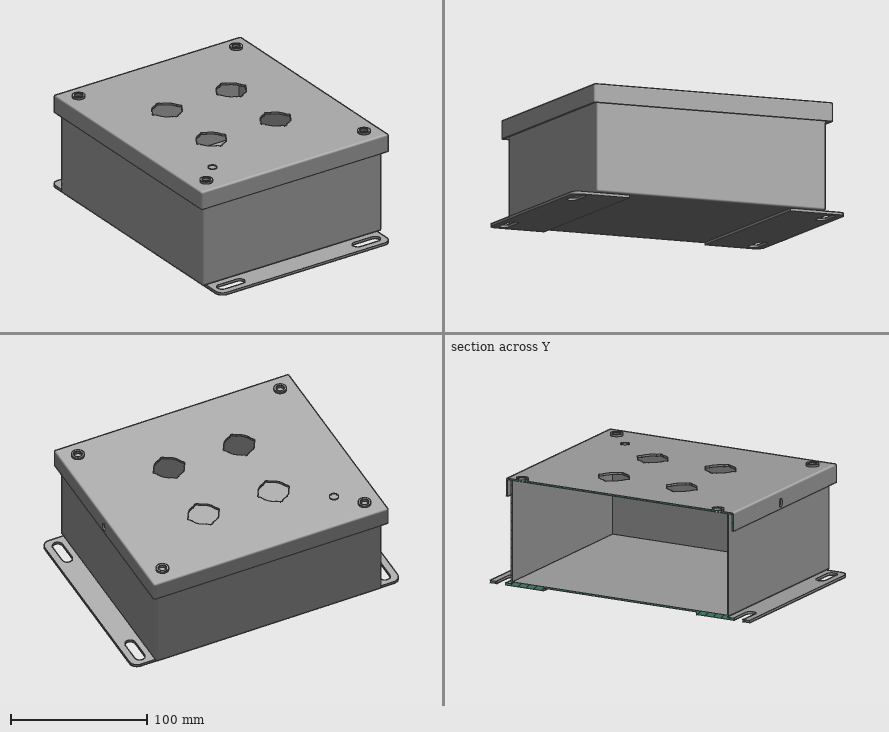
import cadquery as cq

total_length = 219.0
lid_width = 166.7
total_height = 83.5

foot_thickness = 2.0
box_wall = 1.5
lid_wall = 1.5
bend_radius = 1.5

lid_length = 192.0
lid_height = 14.0
screw_head_height = 1.5
lid_top = total_height - screw_head_height
lid_bottom = lid_top - lid_height

lid_overhang = 4.0
box_length = lid_length - 2 * lid_overhang
box_width = lid_width - 2 * lid_overhang
box_bottom = foot_thickness
box_rim = lid_top - lid_wall

foot_inner_edge = 64.6
foot_width = 152.5
foot_corner_radius = 6.1
mount_slot_width = 8.0
mount_slot_length = 23.7
mount_slot_x = 100.1
mount_slot_y = 60.2

button_pitch = 57.2
button_diameter = 22.5
keyway_tip_radius = 12.7
keyway_tip_width = 1.3
keyway_base_radius = 10.7
keyway_base_width = 6.1

pilot_diameter = 6.8
pilot_x = 66.0
pilot_y = -53.2
plug_recess = 0.7

skirt_slot_width = 4.0
skirt_slot_length = 6.1
skirt_slot_z = lid_bottom + 4.5

screw_x = 82.5
screw_y = 70.0
screw_head_diameter = 9.5
socket_mouth_diameter = 6.4
socket_diameter = 5.7
socket_chamfer = (socket_mouth_diameter - socket_diameter) / 2
socket_depth = 2.2


def both_ways(x, y):
    """The four points mirrored about the X and Y axes."""
    return [(sx * x, sy * y) for sx in (-1, 1) for sy in (-1, 1)]


def plain_block(length, width, height, bottom):
    """A sharp-edged block centred on the Z axis, standing at the given height."""
    return cq.Workplane("XY", origin=(0, 0, bottom)).rect(length, width).extrude(height)


def folded_block(length, width, height, bottom, closed_face):
    """A block with rounded upright edges and a rounded rim on its closed face."""
    block = plain_block(length, width, height, bottom)
    return block.edges("|Z").fillet(bend_radius).faces(closed_face).edges().fillet(bend_radius)


def make_foot(side):
    """One slotted mounting foot; side is -1 or 1 along X."""
    length = total_length / 2 - foot_inner_edge
    middle = side * (total_length / 2 + foot_inner_edge) / 2
    outer_edges = "|Z and >X" if side > 0 else "|Z and <X"
    foot = cq.Workplane("XY").center(middle, 0).rect(length, foot_width).extrude(foot_thickness)
    foot = foot.edges(outer_edges).fillet(foot_corner_radius)
    slots = (
        cq.Workplane("XY")
        .pushPoints([(side * mount_slot_x, -mount_slot_y), (side * mount_slot_x, mount_slot_y)])
        .slot2D(mount_slot_length, mount_slot_width, 90)
        .extrude(foot_thickness)
    )
    return foot.cut(slots)


def make_box():
    """The box with its two feet welded under the floor."""
    height = box_rim - box_bottom
    box = folded_block(box_length, box_width, height, box_bottom, "<Z")
    cavity = plain_block(
        box_length - 2 * box_wall, box_width - 2 * box_wall, height, box_bottom + box_wall
    )
    box = box.cut(cavity)
    for side in (-1, 1):
        box = box.union(make_foot(side))
    return box


def button_cutter():
    """One button hole on the Z axis with a tapered keyway on each quarter."""
    sheet = cq.Workplane("XY", origin=(0, 0, lid_top - lid_wall))
    cutter = sheet.circle(button_diameter / 2).extrude(lid_wall)
    half_tip = keyway_tip_width / 2
    half_base = keyway_base_width / 2
    keyway_points = [
        (keyway_tip_radius, -half_tip),
        (keyway_tip_radius, half_tip),
        (keyway_base_radius, half_base),
        (keyway_base_radius, -half_base),
    ]
    keyway = sheet.polyline(keyway_points).close().extrude(lid_wall)
    for quarter in range(4):
        cutter = cutter.union(keyway.rotate((0, 0, 0), (0, 0, 1), 90 * quarter))
    return cutter


def pilot_cylinder(height):
    """A cylinder on the pilot-hole axis, rising from the underside of the lid sheet."""
    sheet = cq.Workplane("XY", origin=(pilot_x, pilot_y, lid_top - lid_wall))
    return sheet.circle(pilot_diameter / 2).extrude(height)


def skirt_slot_cutter():
    """The upright slot through the -X skirt of the lid."""
    skirt = cq.Workplane("YZ", origin=(-lid_length / 2, 0, skirt_slot_z))
    return skirt.slot2D(skirt_slot_length, skirt_slot_width, 90).extrude(lid_wall)


def add_screws(lid):
    """Raise four screw heads on the lid and sink a chamfered round socket in each."""
    places = both_ways(screw_x, screw_y)
    heads = (
        cq.Workplane("XY", origin=(0, 0, lid_top))
        .pushPoints(places)
        .circle(screw_head_diameter / 2)
        .extrude(screw_head_height)
    )
    sockets = (
        cq.Workplane("XY", origin=(0, 0, total_height))
        .pushPoints(places)
        .circle(socket_diameter / 2)
        .extrude(-socket_depth)
    )
    lid = lid.union(heads).cut(sockets)
    socket_rims = lid.faces(">Z").edges(cq.selectors.RadiusNthSelector(0))
    return socket_rims.chamfer(socket_chamfer)


def make_lid():
    """The lid with its holes, its skirt slot and its screws."""
    lid = folded_block(lid_length, lid_width, lid_height, lid_bottom, ">Z")
    cavity = plain_block(
        lid_length - 2 * lid_wall, lid_width - 2 * lid_wall, lid_height - lid_wall, lid_bottom
    )
    lid = lid.cut(cavity).cut(pilot_cylinder(lid_wall)).cut(skirt_slot_cutter())
    for x, y in both_ways(button_pitch / 2, button_pitch / 2):
        lid = lid.cut(button_cutter().translate((x, y, 0)))
    return add_screws(lid)


def make_plug():
    """The plug in the pilot hole, level with the underside of the lid sheet."""
    return pilot_cylinder(lid_wall - plug_recess)


box = make_box()
lid = make_lid()
plug = make_plug()

bodies = [box, lid, plug]
result = cq.Compound.makeCompound([body.solids().val() for body in bodies])